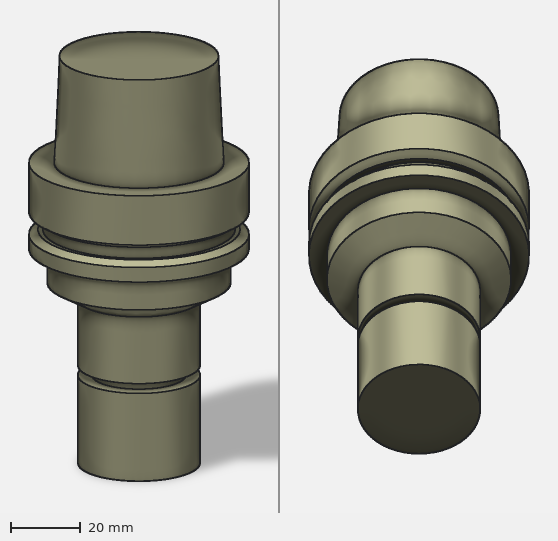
import cadquery as cq

total_height = 122.0

nut_diameter = 35.0
nut_top = 26.4

neck_diameter = 27.0
shank_diameter = nut_diameter
collar_diameter = 52.6
flange_diameter = 63.0
groove_diameter = 55.0
groove_mouth_diameter = 57.8
taper_base_diameter = 48.5
taper_top_diameter = 45.5

neck_top = 29.3
shank_top = 49.3
collar_bottom = 54.2
flange_bottom = 64.2
flange_top = 90.0
groove_bottom = 70.0
groove_top = 73.8
bevel_height = 1.5


def make_nut():
    """Cylindrical nut whose top face meets the neck of the holder."""
    return cq.Workplane("XY").circle(nut_diameter / 2).extrude(nut_top)


def make_holder():
    """Turned holder: neck, shank, collar, grooved flange and tapered top."""
    profile = [
        (0, nut_top),
        (neck_diameter / 2, nut_top),
        (neck_diameter / 2, neck_top),
        (shank_diameter / 2, neck_top),
        (shank_diameter / 2, shank_top),
        (collar_diameter / 2, collar_bottom),
        (collar_diameter / 2, flange_bottom),
        (flange_diameter / 2, flange_bottom),
        (flange_diameter / 2, groove_bottom - bevel_height),
        (groove_mouth_diameter / 2, groove_bottom),
        (groove_diameter / 2, groove_bottom),
        (groove_diameter / 2, groove_top),
        (groove_mouth_diameter / 2, groove_top),
        (flange_diameter / 2, groove_top + bevel_height),
        (flange_diameter / 2, flange_top),
        (taper_base_diameter / 2, flange_top),
        (taper_top_diameter / 2, total_height),
        (0, total_height),
    ]
    return cq.Workplane("XZ").polyline(profile).close().revolve(360, (0, 0), (0, 1))


nut = make_nut()
holder = make_holder()

result = cq.Compound.makeCompound([nut.val(), holder.val()])